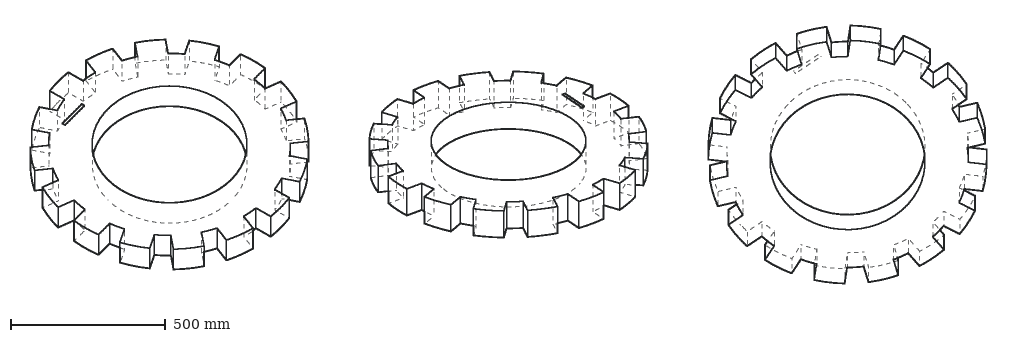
import cadquery as cq

outer_diameter = 899.0
root_diameter = 781.0
bore_diameter = 500.0
thickness = 100.0
tooth_count = 16
tooth_width = 100.0

mark_width = 11.0
mark_length = 104.0
mark_depth = 1.0
mark_center = (-325.0, -84.5)


def make_teeth():
    """Parallel-sided radial bars, trimmed to the outer cylinder."""
    bars = cq.Workplane("XY")
    for index in range(tooth_count // 2):
        bar = cq.Workplane("XY").box(
            outer_diameter + tooth_width, tooth_width, thickness, centered=(True, True, False)
        )
        angle = 360 / tooth_count * index
        bars = bars.add(bar.rotate((0, 0, 0), (0, 0, 1), angle))
    tip_cylinder = cq.Workplane("XY").circle(outer_diameter / 2).extrude(thickness)
    return bars.combine().intersect(tip_cylinder)


def make_mark():
    """Cutter for the shallow mark."""
    return (
        cq.Workplane("XY", origin=(0, 0, thickness))
        .center(*mark_center)
        .rect(mark_width, mark_length)
        .extrude(-mark_depth)
    )


body = cq.Workplane("XY").circle(root_diameter / 2).extrude(thickness)
bore = cq.Workplane("XY").circle(bore_diameter / 2).extrude(thickness)

result = body.union(make_teeth()).cut(bore).cut(make_mark())